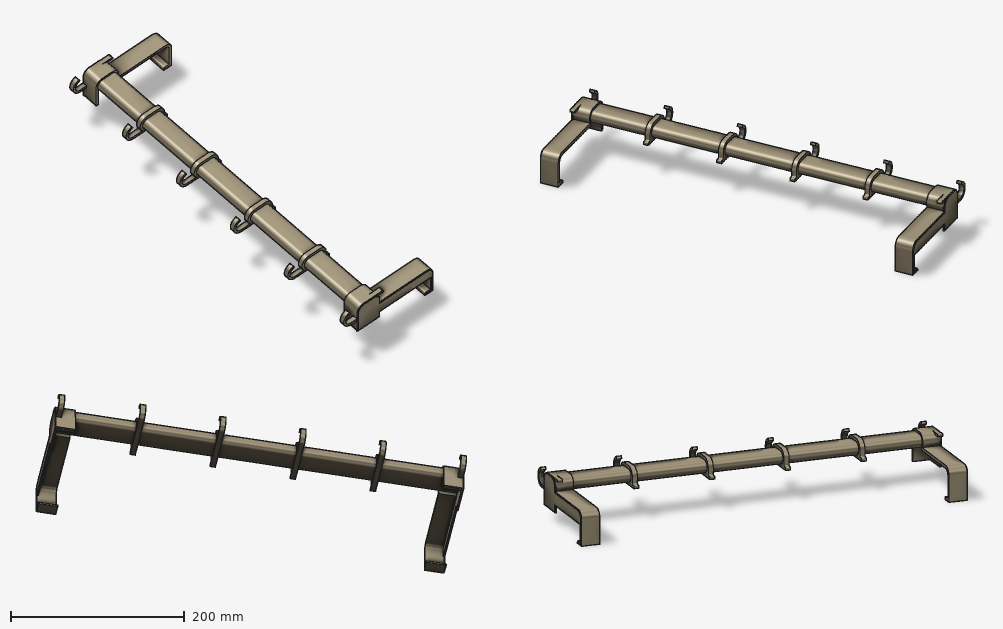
import cadquery as cq
import math


total_length = 480.0
rod_width = 30.0
rod_height = 15.5
rod_radius = rod_height / 2
flat_half = rod_width / 2 - rod_radius

bracket_width = 23.5
strap_thickness = 4.0
plate_thickness = 2.5
block_radius = 10.0
block_half = flat_half + block_radius
block_bottom = -31.5
arm_top = -6.0
arm_bottom = -23.0
arm_back = 99.0
bend_radius = 10.0
leg_bottom = -48.0
lip_reach = 12.5
lip_thickness = 4.5
lip_round = 3.0
edge_break = 1.0

hook_width = 6.0
ring_thickness = 4.0
curl_thickness = 3.5
ring_radius = rod_radius + ring_thickness
ring_half = flat_half + ring_radius
hook_reach = 40.5
curl_radius = 11.5
curl_angle = 60
tip_length = 3.5
tail_reach = 23.5
tail_thickness = 3.5
tail_blend = 2.5
tail_round = 1.0

hook_count = 4
hook_pitch = 94.0

fixed_hook_back = 2.5
fixed_hook_drop = 1.5
tab_reach = 23.0
tab_thickness = 3.0
tab_round = 1.5


def side_sketch(x):
    """Workplane whose first axis is Y and second is Z, extruding towards +X."""
    return cq.Workplane("YZ", origin=(x, 0, 0))


def stadium(x, length, radius):
    """Bar along X with a flat top and bottom and rounded sides."""
    return side_sketch(x).slot2D(2 * (flat_half + radius), 2 * radius).extrude(length)


def block(x, length, y_range, z_range):
    """Box from x along its length, between two Y and two Z values."""
    size_y = y_range[1] - y_range[0]
    size_z = z_range[1] - z_range[0]
    box = cq.Workplane("XY").box(length, size_y, size_z, centered=False)
    return box.translate((x, y_range[0], z_range[0]))


def curl(x, start, back=0, drop=0):
    """Strip running forward below the rod and curling up, moved back and down."""
    inner_radius = curl_radius - curl_thickness
    low = -ring_radius - drop
    centre_y = curl_radius - hook_reach + back
    centre_z = low + curl_radius

    def at(radius, degrees, along=0):
        """Point on the curl, moved on along the tangent."""
        angle = math.radians(degrees)
        y = centre_y - radius * math.cos(angle) + along * math.sin(angle)
        z = centre_z + radius * math.sin(angle) + along * math.cos(angle)
        return y, z

    return (
        side_sketch(x)
        .moveTo(start, low)
        .lineTo(centre_y, low)
        .threePointArc(at(curl_radius, 0), at(curl_radius, curl_angle))
        .lineTo(*at(curl_radius, curl_angle, tip_length))
        .lineTo(*at(inner_radius, curl_angle, tip_length))
        .lineTo(*at(inner_radius, curl_angle))
        .threePointArc(at(inner_radius, 0), (centre_y, low + curl_thickness))
        .lineTo(start, low + curl_thickness)
        .close()
        .extrude(hook_width)
    )


def tail(x):
    """Back wall of a sliding hook, flaring into a short foot that points backwards."""
    foot_top = -ring_radius + tail_thickness
    foot = (
        side_sketch(x)
        .moveTo(0, -ring_radius)
        .lineTo(tail_reach, -ring_radius)
        .lineTo(tail_reach, foot_top)
        .lineTo(ring_half + tail_blend, foot_top)
        .radiusArc((ring_half, foot_top + tail_blend), tail_blend)
        .lineTo(ring_half, 0)
        .lineTo(flat_half + rod_radius, 0)
        .radiusArc((flat_half, -rod_radius), rod_radius)
        .lineTo(0, -rod_radius)
        .close()
        .extrude(hook_width)
    )
    return foot.faces(">Y").edges(">Z").fillet(tail_round)


def sliding_hook(x):
    return stadium(x, hook_width, ring_radius).union(tail(x)).union(curl(x, start=0))


def bracket_outline(x, inset=0, undercut=False):
    """Outline around the rod and along the arm.

    With an undercut the back shoulder stays round, past vertical, down to the arm.
    """
    radius = block_radius - inset
    bend = bend_radius - inset
    half = block_half - inset
    back = arm_back - inset
    top = arm_top - inset
    outline = (
        side_sketch(x)
        .moveTo(-half, block_bottom)
        .lineTo(-half, 0)
        .radiusArc((-flat_half, radius), radius)
        .lineTo(flat_half, radius)
    )
    if undercut:
        outline = outline.radiusArc((flat_half + math.sqrt(radius**2 - top**2), top), radius)
    else:
        outline = outline.radiusArc((half, 0), radius).lineTo(half, top)
    return (
        outline
        .lineTo(back - bend, top)
        .radiusArc((back, top - bend), bend)
        .lineTo(back, arm_bottom)
        .lineTo(half, arm_bottom)
        .lineTo(half, block_bottom)
        .close()
    )


def leg_and_lip(x, length):
    """Leg hanging from the back of the arm, with a lip that points forward at its foot."""
    leg_front = arm_back - strap_thickness
    leg = block(x, length, (leg_front, arm_back), (leg_bottom, arm_top - bend_radius))
    lip_levels = (leg_bottom, leg_bottom + lip_thickness)
    lip = block(x, length, (arm_back - lip_reach, arm_back), lip_levels)
    lip = lip.faces("<Y").edges(">Z").fillet(lip_round)
    return leg.union(lip)


def end_plate(x):
    """Flat outer side of a bracket with its outer face chamfered all around."""
    plate = bracket_outline(x).extrude(plate_thickness)
    plate = plate.union(leg_and_lip(x, plate_thickness)).clean()
    return plate.faces("<X").edges().chamfer(edge_break)


def strap(x, length):
    """Folded sheet over the rod, down the front and back along the arm."""
    front_inside = strap_thickness - block_half
    below_arm = (block_bottom, arm_top - strap_thickness)
    sheet = bracket_outline(x, undercut=True).extrude(length)
    sheet = sheet.cut(bracket_outline(x, inset=strap_thickness).extrude(length))
    sheet = sheet.cut(block(x, length, (front_inside, block_half), below_arm))
    sheet = sheet.faces("<Z").edges("<Y").chamfer(edge_break)
    return sheet.union(leg_and_lip(x, length))


def fixed_hook(x):
    """Tab behind the top of a bracket and a curl in front of it."""
    tab_levels = (block_radius - tab_thickness, block_radius)
    tab = block(x, hook_width, (0, tab_reach), tab_levels)
    tab = tab.faces(">Y").edges(">Z").fillet(tab_round)
    hook = curl(x, strap_thickness - block_half, fixed_hook_back, fixed_hook_drop)
    return tab.union(hook)


def left_bracket():
    outer_face = -total_length / 2
    strap_side = outer_face + edge_break
    return (
        end_plate(outer_face)
        .union(strap(strap_side, bracket_width - edge_break))
        .union(fixed_hook(strap_side))
    )


inner_length = total_length - 2 * plate_thickness
result = stadium(-inner_length / 2, inner_length, rod_radius)

end_bracket = left_bracket()
result = result.union(end_bracket).union(end_bracket.mirror("YZ"))

for index in range(hook_count):
    hook_centre = (index - (hook_count - 1) / 2) * hook_pitch
    result = result.union(sliding_hook(hook_centre - hook_width / 2))